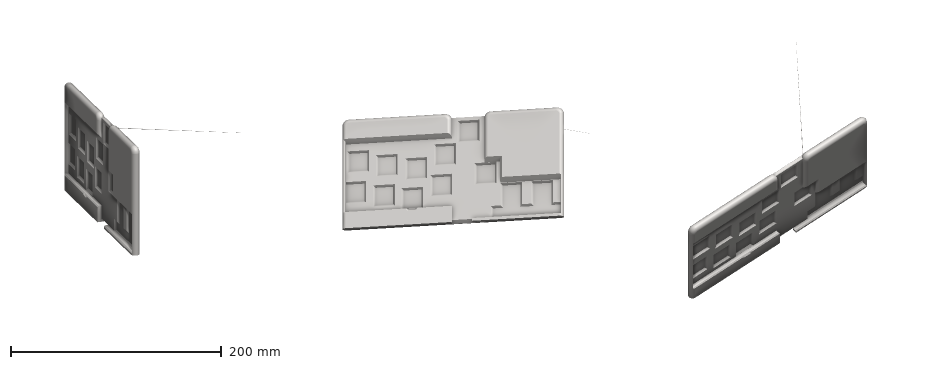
import cadquery as cq
import math

case_width = 215.0
case_height = 107.8
thickness = 8.3
corner_radius = 6.5
edge_round = thickness / 2
left_block_end = 106.3
right_block_start = 137.8

floor_depth = 4.3
plate_top = 103.9
plate_margin = 8.7
plate_top_chamfer = 0.5
plate_bottom_chamfer = 3.0
recess_left = 3.3
recess_right = 212.0
recess_bottom = 3.0
gap_middle = (left_block_end + right_block_start) / 2
left_slope_foot = 83.7
step_slope_foot = 58.0
right_slope_foot = 37.2
step_x = 153.2
wall_bevel = 2.2
right_wall_bevel = 1.0

palm_height = 16.3
palm_end = 107.3
rim_start = 126.5
ledge_bevel = 1.0
overlap = 8.7
thumb_notch_center = 67.8
thumb_notch_top_width = 13.0
thumb_notch_bottom_width = 7.4
thumb_notch_drop = 1.5
thumb_notch_depth = 1.7

key_size = 21.0
key_depth = 2.0
key_centers = [
    (15.2, 66.3), (43.0, 60.8), (71.5, 56.0), (99.3, 68.2), (122.1, 90.0),
    (12.2, 36.0), (40.2, 31.3), (67.5, 27.0), (95.8, 38.2), (138.6, 47.4),
]
finger_starts = [153.2, 183.0]
finger_top = 36.7
bar_left = 143.9
bar_bottom = 2.2
bar_top = 14.8

antenna_base = (141.7, thickness, 104.0)
antenna_tip = (217.25, 113.17, 112.06)
antenna_base_radius = 0.33
antenna_tip_radius = 0.07
antenna_root = 2.2


def box(x0, x1, y0, y1, z0, z1):
    return cq.Workplane("XY").box(x1 - x0, y1 - y0, z1 - z0, centered=False).translate((x0, y0, z0))


def rounded_slab(x0, x1):
    """Full-height slab with fully round sides, top and top corners; the bottom stays flat."""
    left = x0 + edge_round
    right = x1 - edge_round
    top = case_height - edge_round
    bend = corner_radius - edge_round
    core = box(left, right, 0, thickness, 0, top)
    core = core.edges("|Y and >Z").fillet(bend)
    bend_inset = bend * (1 - math.sqrt(0.5))
    spine = (
        cq.Workplane("XZ", origin=(0, edge_round, 0))
        .moveTo(left, 0)
        .lineTo(left, top - bend)
        .threePointArc((left + bend_inset, top - bend_inset), (left + bend, top))
        .lineTo(right - bend, top)
        .threePointArc((right - bend_inset, top - bend_inset), (right, top - bend))
        .lineTo(right, 0)
    )
    border = cq.Workplane("XY").center(left, edge_round).circle(edge_round).sweep(spine)
    return core.union(border)


def wall_points(foot, bevel, outward):
    """Section of one recess wall, floor to front: straight, then a 45 degree bevel."""
    points = [(foot, floor_depth)]
    if bevel < floor_depth:
        points.append((foot, bevel))
    points.append((foot + outward * bevel, 0))
    return points


def recess(x0, x1, z0, z1, right_bevel):
    """Recess cutter whose top wall slopes at 45 degrees over the full depth."""
    across = wall_points(x0, wall_bevel, -1) + wall_points(x1, right_bevel, 1)[::-1]
    upward = wall_points(z0, ledge_bevel, -1) + wall_points(z1, floor_depth, 1)[::-1]
    plan = cq.Workplane("XY").polyline(across).close().extrude(case_height)
    section = [(y, z) for z, y in upward]
    side = cq.Workplane("YZ").polyline(section).close().extrude(case_width)
    return plan.intersect(side)


def front_pocket(points, y, depth):
    """Cutter going back from height y, narrowing at 45 degrees."""
    plane = cq.Plane(origin=(0, y, 0), xDir=(1, 0, 0), normal=(0, -1, 0))
    return cq.Workplane(plane).polyline(points).close().extrude(-depth, taper=45)


def rectangular_pocket(x0, x1, z0, z1):
    return front_pocket([(x0, z0), (x1, z0), (x1, z1), (x0, z1)], floor_depth, key_depth)


left_case = rounded_slab(0, left_block_end)
left_case = left_case.cut(recess(recess_left, gap_middle, palm_height, left_slope_foot, wall_bevel))
right_case = rounded_slab(right_block_start, case_width)
right_case = right_case.cut(recess(gap_middle, step_x, recess_bottom, step_slope_foot, wall_bevel))
right_case = right_case.cut(recess(gap_middle, recess_right, recess_bottom, right_slope_foot, right_wall_bevel))

plate = box(plate_margin, case_width - plate_margin, floor_depth, thickness, 0, plate_top)
plate = plate.faces(">Z").edges("|X").chamfer(plate_top_chamfer)
plate = plate.edges("<Y and <Z").chamfer(plate_bottom_chamfer)

undercut = palm_end - left_block_end
palm_plan = [
    (left_block_end - overlap, 0),
    (palm_end, 0),
    (left_block_end, undercut),
    (left_block_end, floor_depth),
    (left_block_end - overlap, floor_depth),
]
palm = cq.Workplane("XY").polyline(palm_plan).close().extrude(palm_height)
palm = palm.edges("|X and <Y and >Z").chamfer(ledge_bevel)

rim = box(rim_start, right_block_start + overlap, 0, floor_depth, 0, recess_bottom)
rim = rim.edges("|X and <Y and >Z").chamfer(ledge_bevel)

body = left_case.union(right_case).union(plate).union(palm).union(rim)

pockets = rectangular_pocket(bar_left, case_width, bar_bottom, bar_top)
for start in finger_starts:
    pockets = pockets.union(rectangular_pocket(start, start + key_size, bar_bottom, finger_top))
half_key = key_size / 2
for x, z in key_centers:
    pockets = pockets.union(rectangular_pocket(x - half_key, x + half_key, z - half_key, z + half_key))
recess_limits = box(recess_left, recess_right, 0, thickness, recess_bottom, plate_top)
body = body.cut(pockets.intersect(recess_limits))

notch_bottom = palm_height - ledge_bevel - thumb_notch_drop
half_top = thumb_notch_top_width / 2
half_bottom = thumb_notch_bottom_width / 2
notch_outline = [
    (thumb_notch_center - half_top, palm_height),
    (thumb_notch_center - half_bottom, notch_bottom),
    (thumb_notch_center + half_bottom, notch_bottom),
    (thumb_notch_center + half_top, palm_height),
]
body = body.cut(front_pocket(notch_outline, 0, thumb_notch_depth))

base = cq.Vector(*antenna_base)
reach = cq.Vector(*antenna_tip) - base
root = base - reach.normalized() * antenna_root
antenna = cq.Solid.makeCone(
    antenna_base_radius, antenna_tip_radius, reach.Length + antenna_root, root, reach
)

result = body.union(cq.Workplane(antenna))